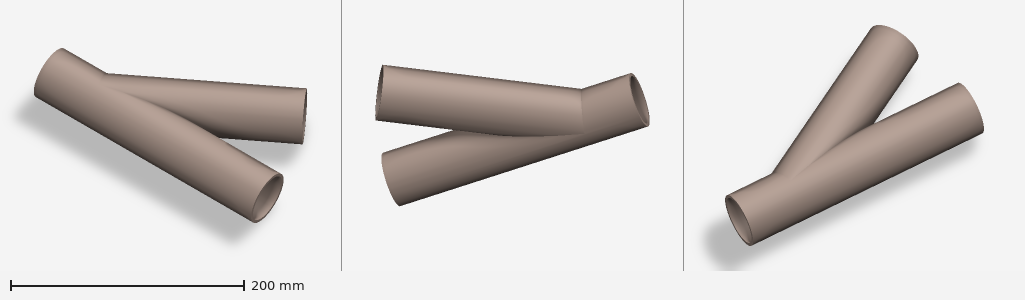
import cadquery as cq
import math

outer_diameter = 48.26
bore_diameter = 42.72

run_length = 228.6
inlet_length = 50.8
branch_length = 177.8
branch_angle = 30.0

run_start = cq.Vector(-inlet_length, 0, 0)
run_direction = cq.Vector(1, 0, 0)
branch_start = cq.Vector(0, 0, 0)
branch_direction = cq.Vector(
    math.cos(math.radians(branch_angle)),
    math.sin(math.radians(branch_angle)),
    0,
)


def cylinder(diameter, start, direction, length):
    """Solid cylinder running from a start point along a direction."""
    plane = cq.Plane(origin=start, xDir=cq.Vector(0, 0, 1), normal=direction)
    return cq.Workplane(plane).circle(diameter / 2).extrude(length)


def branch_wedge():
    """Block holding the branch side of the two mitre planes through the origin."""
    bisector = math.radians(branch_angle / 2)
    reach = 2 * branch_length
    along_crotch = (reach * math.cos(bisector), reach * math.sin(bisector))
    along_heel = (-reach * math.sin(bisector), reach * math.cos(bisector))
    return (
        cq.Workplane("XY")
        .polyline([(0, 0), along_crotch, along_heel])
        .close()
        .extrude(outer_diameter, both=True)
    )


def mitred_branch(diameter):
    """Branch cylinder, overrun past the origin and trimmed to the mitre planes."""
    overrun = outer_diameter
    start = branch_start - branch_direction * overrun
    full = cylinder(diameter, start, branch_direction, branch_length + overrun)
    return full.intersect(branch_wedge())


def wye(diameter):
    """Run and branch joined into one Y-shaped solid."""
    run = cylinder(diameter, run_start, run_direction, run_length)
    return run.union(mitred_branch(diameter))


result = wye(outer_diameter).cut(wye(bore_diameter))